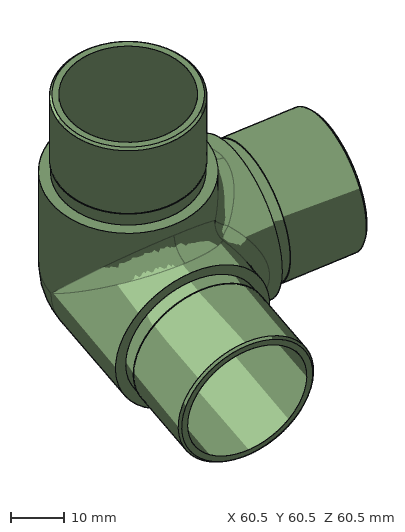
import cadquery as cq

overall = 60.5
body_diameter = 33.7
neck_diameter = 29.2
spigot_diameter = 29.6
bore_diameter = 26.0
spigot_length = 17.0
neck_length = 3.0
rim_chamfer = 0.5
crotch_radius = 4.0

body_radius = body_diameter / 2
arm_end = overall - body_radius
neck_end = arm_end - spigot_length
body_end = neck_end - neck_length

AXES = [(1, 0, 0), (0, 1, 0), (0, 0, 1)]


def cylinder(axis, diameter, start, end):
    """Cylinder centred on an axis, between two distances from the origin."""
    base = cq.Vector(*axis) * start
    return cq.Workplane(cq.Solid.makeCylinder(diameter / 2, end - start, base, cq.Vector(*axis)))


def corner(diameter, length):
    """Three equal cylinders joined by a sphere at the origin."""
    shape = cq.Workplane().sphere(diameter / 2)
    for axis in AXES:
        shape = shape.union(cylinder(axis, diameter, 0, length))
    return shape


body = corner(body_diameter, body_end)
mitres = [edge for edge in body.edges().vals() if edge.geomType() == "ELLIPSE"]
body = body.newObject(mitres).fillet(crotch_radius)

for axis in AXES:
    neck = cylinder(axis, neck_diameter, 0, neck_end)
    rim = cq.NearestToPointSelector((cq.Vector(*axis) * arm_end).toTuple())
    spigot = cylinder(axis, spigot_diameter, neck_end, arm_end).faces(rim).chamfer(rim_chamfer)
    body = body.union(neck).union(spigot)

result = body.cut(corner(bore_diameter, arm_end))